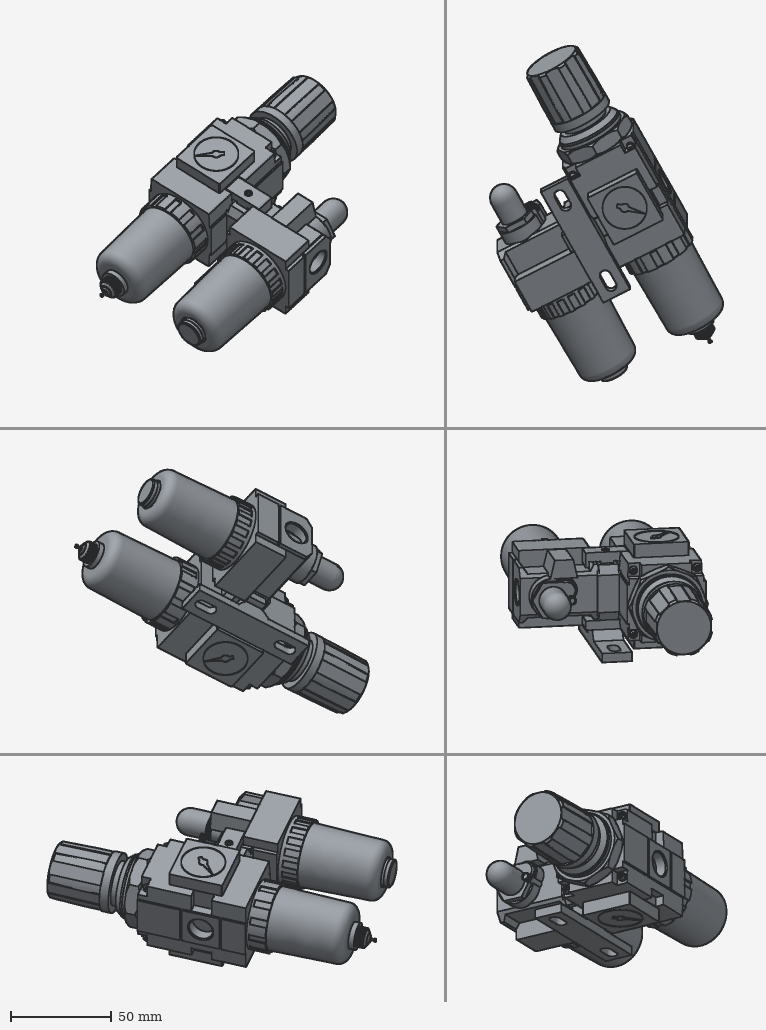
import cadquery as cq
import math


UNIT_PITCH = 50.0
SPACER_WIDTH = 10.0
UNIT_HALF_WIDTH = (UNIT_PITCH - SPACER_WIDTH) / 2
HALF_HEIGHT = 20.0
HOUSING_BOTTOM = -23.4
LUBRICATOR_X = UNIT_PITCH
SPACER_X = UNIT_PITCH / 2

GROOVE_Y = 10.4
GROOVE_WIDTH = 1.2
GROOVE_DEPTH = 1.0
STRAP_WIDTH = 10.0
STRAP_INNER_Z = 15.25
STRAP_LENGTH = 21.6
NOTCH_WIDTH = 10.8
EDGE_BEVEL_WIDTH = 1.1
EDGE_BEVEL_DROP = 0.3

PORT_DIAMETER = 13.6
PORT_INNER_DIAMETER = 12.4
PORT_CHAMFER = 0.6
PORT_DEPTH = 6.0

FILTER_TOP = 33.4
PORT_FACE_HALF_HEIGHT = 10.15
FILTER_STEP_X = UNIT_HALF_WIDTH - GROOVE_DEPTH
FILTER_SHELL_X = 18.5
NOTCH_FLOOR_X = SPACER_X - STRAP_LENGTH / 2
NOTCH_TOP_Z = 10.0
NOTCH_BOTTOM_Z = 15.0
SCREW_POCKET_X = 12.7
SCREW_POCKET_Y = 28.6
SCREW_POCKET_Z = 13.2
SCREW_X = 16.2
SCREW_Z = 16.5
SCREW_DIAMETER = 4.0
SCREW_RIM = 1.0
SCREW_TOP_RADIUS = 1.3
SCREW_HEAD = 2.5
SCREW_SLOT = 0.8

GAUGE_SIZE = 28.0
GAUGE_Y = 4.6
GAUGE_Z = 27.0
GAUGE_EDGE = 0.4
DIAL_Y = 5.2
DIAL_DIAMETER = 22.2
DIAL_DEPTH = 0.4
POINTER_LENGTH = 10.8
POINTER_TAIL = 4.0
POINTER_HUB = 4.4
POINTER_HALF_WIDTH = 1.3
POINTER_TAIL_HALF_WIDTH = 0.9
POINTER_ANGLE = 225.0

NUT_TOP = 40.6
NUT_SIDES = 8
NUT_CHAMFER_RADIUS = 18.7
NUT_CHAMFER_HEIGHT = 1.3
BONNET_RADIUS = 16.7
BONNET_GROOVE_RADIUS = 16.3
BONNET_GROOVE_BOTTOM = 42.6
BONNET_GROOVE_TOP = 43.7
BONNET_TOP_RADIUS = 14.0
BONNET_TOP = 46.7
NECK_RADIUS = 11.5
COLLAR_BOTTOM = 50.2
COLLAR_TOP = 54.9
COLLAR_RADIUS = 15.4
KNOB_TOP = 82.9
KNOB_KINK = 63.1
KNOB_TOP_RADIUS = 14.85
KNOB_RADIUS = 15.3
KNOB_CHAMFER = 1.2
KNOB_FLATS = 8
KNOB_FLAT_HALF_WIDTH = 3.5
KNOB_FLAT_DEPTH = 0.6

RING_RADIUS = 18.0
RING_END = -33.3
RING_RECESS_WIDTH = 3.6
RING_RECESS_DEPTH = 0.8
FILTER_RECESS_START = -24.6
FILTER_RECESSES = 12
LUBRICATOR_RECESS_START = -25.5
LUBRICATOR_RECESSES = 18
BOWL_RADIUS = 16.5
BOWL_FLOOR_RADIUS = 10.6
FILTER_BOWL_TIP_RADIUS = 15.8
FILTER_BOWL_END = -73.3
LUBRICATOR_BOWL_TIP_RADIUS = 15.6
LUBRICATOR_BOWL_END = -74.2
BOWL_ROUND_HEIGHT = 5.0

BOSS_RADIUS = 7.0
DRAIN_BOSS_END = -76.2
DRAIN_CAP_RADIUS = 5.2
DRAIN_CAP_END = -80.2
DRAIN_CONE_END = -82.7
DRAIN_CONE_RADIUS = 1.8
DRAIN_RING_Y = -81.7
DRAIN_RING_OUTER_RADIUS = 3.3
DRAIN_RING_INNER_RADIUS = 2.6
DRAIN_PIN_RADIUS = 0.55
DRAIN_TIP_START = -84.9
DRAIN_TIP_RADIUS = 0.85
DRAIN_END = -85.6
DRAIN_KNURLS = 20
DRAIN_KNURL_WIDTH = 0.6
DRAIN_KNURL_DEPTH = 0.5

PLUG_STEP = -75.4
PLUG_CHAMFER_START = -77.4
PLUG_RADIUS = 7.2
PLUG_FACE_RADIUS = 6.5
PLUG_END = -77.9
PLUG_SEAT_RADIUS = 7.8
PLUG_SEAT_DEPTH = 0.8

LUBRICATOR_TOP = 9.4
BLOCK_TOP = -5.3
BLOCK_HALF_WIDTH = 18.0
BODY_HALF_HEIGHT = 14.2
FLOOR_Z = 11.3
FLOOR_HALF_WIDTH = 15.9
BODY_CHAMFER_Y = 3.3
BODY_CHAMFER_Z = 4.7
RIDGE_X = 48.85
RIDGE_TOP_WIDTH = 9.4
RIDGE_FOOT_WIDTH = 13.8
RIDGE_FOOT_Z = 10.3
RIDGE_TOP_Z = 19.7
RIDGE_END = 15.7

DOME_X = 55.0
DOME_RADIUS = 7.0
DOME_CENTRE_Y = 30.3
SIGHT_NUT_RADIUS = 10.5
SIGHT_BASE_RADIUS = 10.4
SIGHT_NUT_TOP = 18.7
FILLER_X = 48.2
FILLER_Z = 4.5
FILLER_RADIUS = 11.45 / 2
FILLER_RIM_TOP = 17.2
FILLER_TOP_RADIUS = 4.5
FILLER_KNURLS = 24
KNURL_SIZE = 0.5
ADJUSTER_X = 45.7
ADJUSTER_RADIUS = 2.0
ADJUSTER_TOP = 21.8
ADJUSTER_KNURLS = 10

SPACER_HALF_LENGTH = GROOVE_Y + GROOVE_WIDTH / 2
SPACER_HALF_HEIGHT = 14.3
SPACER_CHAMFER_Y = 2.9
SPACER_CHAMFER_Z = 4.7
NECK_WIDTH = 6.8
HOOK_THICKNESS = 1.6
HOOK_Z = 12.3
STRAP_BEVEL_WIDTH = 1.4
STRAP_BEVEL_DROP = 0.4
CLAMP_SCREW_DIAMETER = 3.6
CLAMP_SCREW_DEPTH = 0.6
CLAMP_SOCKET_DIAMETER = 1.7
CLAMP_SOCKET_DEPTH = 2.0
PLATE_WIDTH = 15.2
PLATE_HALF_LENGTH = 33.1
PLATE_TOP_Z = -24.8
PLATE_BOTTOM_Z = -29.5
POST_FOOT_HALF_LENGTH = 9.0
SLOT_Y = 24.0
SLOT_LENGTH = 11.6
SLOT_WIDTH = 5.6


def box(x, y, z):
    """Box from three (low, high) ranges."""
    size = [high - low for low, high in (x, y, z)]
    return cq.Workplane("XY").box(*size, centered=False).translate((x[0], y[0], z[0]))


def mirrored(shape, plane):
    """A shape together with its mirror image through the origin."""
    return shape.union(shape.mirror(plane))


def turned(points):
    """Solid of revolution about the Y axis, from (radius, y) points."""
    profile = cq.Workplane("XY").polyline(points).close()
    return profile.revolve(360, (0, 0, 0), (0, 1, 0))


def along_y(start_y):
    """Workplane facing +Y, with its local y axis along -Z."""
    return cq.Workplane("XZ", origin=(0, start_y, 0)).transformed(rotate=(180, 0, 0))


def around_y(shape, count, start_angle=0.0):
    """Copies of a shape evenly spaced around the Y axis, joined in one cutter."""
    copies = cq.Workplane("XY")
    for index in range(count):
        angle = start_angle + index * 360.0 / count
        copies = copies.add(shape.rotate((0, 0, 0), (0, 1, 0), angle))
    return copies.combine()


def knurl_cutter(radius, depth, width, y_range, count):
    """Ring of narrow grooves along Y that knurls a cylinder of the given radius."""
    groove = box((-width / 2, width / 2), y_range, (radius - depth, radius + depth))
    return around_y(groove, count)


def bevelled_block(top_half_width, foot_half_width, foot_z, y_range):
    """Full-height block, drafted above foot_z, with a shallow bevel along its four long edges."""
    shoulder_z = HALF_HEIGHT - EDGE_BEVEL_DROP
    bevel_x = top_half_width - EDGE_BEVEL_WIDTH
    quarter = [(bevel_x, HALF_HEIGHT), (top_half_width, shoulder_z), (foot_half_width, foot_z)]
    lower = [(x, -z) for x, z in reversed(quarter)]
    right = quarter + lower
    left = [(-x, z) for x, z in reversed(right)]
    length = y_range[1] - y_range[0]
    return along_y(y_range[0]).polyline(right + left).close().extrude(length)


def port(face_x, inward):
    """Blind flow port with a chamfered mouth; inward is the X direction into the housing."""
    mouth_radius = PORT_DIAMETER / 2
    bore_radius = PORT_INNER_DIAMETER / 2
    points = [
        (0, 0),
        (mouth_radius, 0),
        (bore_radius, PORT_CHAMFER),
        (bore_radius, PORT_DEPTH),
        (0, PORT_DEPTH),
    ]
    cutter = turned(points).rotate((0, 0, 0), (0, 0, 1), -90 * inward)
    return cutter.translate((face_x, 0, 0))


def groove_cutters(face_x):
    """Pair of vertical tongue grooves reaching GROOVE_DEPTH to each side of a port face."""
    groove = box(
        (face_x - GROOVE_DEPTH, face_x + GROOVE_DEPTH),
        (GROOVE_Y - GROOVE_WIDTH / 2, GROOVE_Y + GROOVE_WIDTH / 2),
        (-HALF_HEIGHT, HALF_HEIGHT),
    )
    return mirrored(groove, "XZ")


def bowl(tip_radius, end_y, recess_start, recess_count, recess_angle):
    """Tapered bowl with a rounded end, under a ring with grip recesses."""
    round_start = end_y + BOWL_ROUND_HEIGHT
    round_width = tip_radius - BOWL_FLOOR_RADIUS
    arc_mid = (
        BOWL_FLOOR_RADIUS + round_width * math.sin(math.pi / 4),
        round_start - BOWL_ROUND_HEIGHT * math.sin(math.pi / 4),
    )
    body = (
        cq.Workplane("XY")
        .moveTo(0, HOUSING_BOTTOM)
        .lineTo(RING_RADIUS, HOUSING_BOTTOM)
        .lineTo(RING_RADIUS, RING_END)
        .lineTo(BOWL_RADIUS, RING_END)
        .lineTo(tip_radius, round_start)
        .threePointArc(arc_mid, (BOWL_FLOOR_RADIUS, end_y))
        .lineTo(0, end_y)
        .close()
        .revolve(360, (0, 0, 0), (0, 1, 0))
    )
    recess = box(
        (-RING_RECESS_WIDTH / 2, RING_RECESS_WIDTH / 2),
        (RING_END, recess_start),
        (RING_RADIUS - RING_RECESS_DEPTH, RING_RADIUS + RING_RECESS_DEPTH),
    )
    return body.cut(around_y(recess, recess_count, recess_angle))


def filter_housing():
    y_range = (HOUSING_BOTTOM, FILTER_TOP)
    housing = bevelled_block(FILTER_SHELL_X, FILTER_STEP_X, PORT_FACE_HALF_HEIGHT, y_range)
    housing = housing.union(
        box(
            (-UNIT_HALF_WIDTH, UNIT_HALF_WIDTH),
            y_range,
            (-PORT_FACE_HALF_HEIGHT, PORT_FACE_HALF_HEIGHT),
        )
    )
    for side in (-1, 1):
        housing = housing.cut(groove_cutters(side * UNIT_HALF_WIDTH))
    notch_x = (NOTCH_FLOOR_X, FILTER_STEP_X)
    notch_y = (-NOTCH_WIDTH / 2, NOTCH_WIDTH / 2)
    upper_notch = box(notch_x, notch_y, (NOTCH_TOP_Z, HALF_HEIGHT))
    lower_notch = box(notch_x, notch_y, (-HALF_HEIGHT, -NOTCH_BOTTOM_Z))
    housing = housing.cut(mirrored(upper_notch, "YZ")).cut(mirrored(lower_notch, "YZ"))
    return housing.cut(port(-UNIT_HALF_WIDTH, 1))


def corner_screw():
    """Slotted screw head with a coned top, standing in a corner pocket."""
    head_top = SCREW_POCKET_Y + SCREW_HEAD
    head = turned(
        [
            (0, SCREW_POCKET_Y),
            (SCREW_DIAMETER / 2, SCREW_POCKET_Y),
            (SCREW_DIAMETER / 2, SCREW_POCKET_Y + SCREW_RIM),
            (SCREW_TOP_RADIUS, head_top),
            (0, head_top),
        ]
    )
    slot = box(
        (-SCREW_DIAMETER, SCREW_DIAMETER),
        (head_top - SCREW_SLOT, head_top),
        (-SCREW_SLOT / 2, SCREW_SLOT / 2),
    )
    return head.cut(slot).translate((SCREW_X, 0, SCREW_Z))


def four_corners(shape):
    return mirrored(mirrored(shape, "XY"), "YZ")


def gauge():
    """Square pressure gauge on the upper face, with a sunk dial and a raised pointer."""
    half = GAUGE_SIZE / 2
    case = box(
        (-half, half),
        (GAUGE_Y - half, GAUGE_Y + half),
        (HALF_HEIGHT, GAUGE_Z),
    )
    case = case.edges("|Z").chamfer(GAUGE_EDGE)
    dial_plane = cq.Workplane("XY", origin=(0, DIAL_Y, GAUGE_Z - DIAL_DEPTH))
    dial = dial_plane.circle(DIAL_DIAMETER / 2).extrude(DIAL_DEPTH)
    needle = (
        dial_plane.transformed(rotate=(0, 0, POINTER_ANGLE))
        .polyline(
            [
                (POINTER_LENGTH, 0),
                (0, POINTER_HALF_WIDTH),
                (-POINTER_TAIL, POINTER_TAIL_HALF_WIDTH),
                (-POINTER_TAIL, -POINTER_TAIL_HALF_WIDTH),
                (0, -POINTER_HALF_WIDTH),
            ]
        )
        .close()
        .extrude(DIAL_DEPTH)
    )
    hub = dial_plane.circle(POINTER_HUB / 2).extrude(DIAL_DEPTH)
    return case.cut(dial).union(needle).union(hub)


def regulator_nut():
    """Octagon nut with both ends turned to a cone."""
    length = NUT_TOP - FILTER_TOP
    nut = along_y(FILTER_TOP).polygon(NUT_SIDES, 2 * UNIT_HALF_WIDTH).extrude(length)
    envelope = turned(
        [
            (0, FILTER_TOP),
            (NUT_CHAMFER_RADIUS, FILTER_TOP),
            (UNIT_HALF_WIDTH, FILTER_TOP + NUT_CHAMFER_HEIGHT),
            (UNIT_HALF_WIDTH, NUT_TOP - NUT_CHAMFER_HEIGHT),
            (NUT_CHAMFER_RADIUS, NUT_TOP),
            (0, NUT_TOP),
        ]
    )
    return nut.intersect(envelope)


def bonnet():
    return turned(
        [
            (0, NUT_TOP),
            (BONNET_RADIUS, NUT_TOP),
            (BONNET_RADIUS, BONNET_GROOVE_BOTTOM),
            (BONNET_GROOVE_RADIUS, BONNET_GROOVE_BOTTOM),
            (BONNET_GROOVE_RADIUS, BONNET_GROOVE_TOP),
            (BONNET_TOP_RADIUS, BONNET_TOP),
            (NECK_RADIUS, BONNET_TOP),
            (NECK_RADIUS, COLLAR_BOTTOM),
            (0, COLLAR_BOTTOM),
        ]
    )


def knob():
    """Tapered hand knob with sunk flats that follow its taper, above a plain collar."""
    grip = turned(
        [
            (0, COLLAR_BOTTOM),
            (COLLAR_RADIUS, COLLAR_BOTTOM),
            (COLLAR_RADIUS, COLLAR_TOP),
            (KNOB_RADIUS, COLLAR_TOP),
            (KNOB_RADIUS, KNOB_KINK),
            (KNOB_TOP_RADIUS, KNOB_TOP - KNOB_CHAMFER),
            (KNOB_TOP_RADIUS - KNOB_CHAMFER, KNOB_TOP),
            (0, KNOB_TOP),
        ]
    )
    low_flat = math.sqrt(KNOB_RADIUS**2 - KNOB_FLAT_HALF_WIDTH**2) - KNOB_FLAT_DEPTH
    high_flat = math.sqrt(KNOB_TOP_RADIUS**2 - KNOB_FLAT_HALF_WIDTH**2) - KNOB_FLAT_DEPTH
    flat = (
        cq.Workplane("YZ")
        .polyline(
            [
                (COLLAR_TOP, low_flat),
                (KNOB_TOP, high_flat),
                (KNOB_TOP, COLLAR_RADIUS),
                (COLLAR_TOP, COLLAR_RADIUS),
            ]
        )
        .close()
        .extrude(KNOB_FLAT_HALF_WIDTH, both=True)
    )
    return grip.cut(around_y(flat, KNOB_FLATS))


def drain():
    """Drain boss, knurled cap and release pin below the filter bowl."""
    body = turned(
        [
            (0, FILTER_BOWL_END),
            (BOSS_RADIUS, FILTER_BOWL_END),
            (BOSS_RADIUS, DRAIN_BOSS_END),
            (DRAIN_CAP_RADIUS, DRAIN_BOSS_END),
            (DRAIN_CAP_RADIUS, DRAIN_CAP_END),
            (DRAIN_RING_OUTER_RADIUS, DRAIN_RING_Y),
            (DRAIN_RING_INNER_RADIUS, DRAIN_RING_Y),
            (DRAIN_CONE_RADIUS, DRAIN_CONE_END),
            (DRAIN_PIN_RADIUS, DRAIN_CONE_END),
            (DRAIN_PIN_RADIUS, DRAIN_TIP_START),
            (DRAIN_TIP_RADIUS, DRAIN_TIP_START),
            (DRAIN_TIP_RADIUS, DRAIN_END),
            (0, DRAIN_END),
        ]
    )
    knurl = knurl_cutter(
        DRAIN_CAP_RADIUS,
        DRAIN_KNURL_DEPTH,
        DRAIN_KNURL_WIDTH,
        (DRAIN_CONE_END, DRAIN_BOSS_END),
        DRAIN_KNURLS,
    )
    return body.cut(knurl)


def filter_regulator():
    screw_pocket = box(
        (SCREW_POCKET_X, UNIT_HALF_WIDTH),
        (SCREW_POCKET_Y, FILTER_TOP),
        (SCREW_POCKET_Z, HALF_HEIGHT),
    )
    unit = filter_housing().cut(four_corners(screw_pocket)).union(four_corners(corner_screw()))
    unit = unit.union(mirrored(gauge(), "XY"))
    unit = unit.union(regulator_nut()).union(bonnet()).union(knob())
    filter_bowl = bowl(
        FILTER_BOWL_TIP_RADIUS, FILTER_BOWL_END, FILTER_RECESS_START, FILTER_RECESSES, 0
    )
    return unit.union(filter_bowl).union(drain())


def lubricator_body():
    """Low body with port faces, sunk floors and a sloped end."""
    end_z = BODY_HALF_HEIGHT - BODY_CHAMFER_Z
    slope_y = LUBRICATOR_TOP - BODY_CHAMFER_Y
    side_profile = [
        (HOUSING_BOTTOM, BODY_HALF_HEIGHT),
        (slope_y, BODY_HALF_HEIGHT),
        (LUBRICATOR_TOP, end_z),
        (LUBRICATOR_TOP, -end_z),
        (slope_y, -BODY_HALF_HEIGHT),
        (HOUSING_BOTTOM, -BODY_HALF_HEIGHT),
    ]
    body = cq.Workplane("YZ").polyline(side_profile).close().extrude(UNIT_HALF_WIDTH, both=True)
    floor_cutter = (
        along_y(BLOCK_TOP)
        .polyline(
            [
                (-FLOOR_HALF_WIDTH, FLOOR_Z),
                (FLOOR_HALF_WIDTH, FLOOR_Z),
                (BLOCK_HALF_WIDTH, BODY_HALF_HEIGHT),
                (-BLOCK_HALF_WIDTH, BODY_HALF_HEIGHT),
            ]
        )
        .close()
        .extrude(LUBRICATOR_TOP - BLOCK_TOP)
    )
    body = body.cut(mirrored(floor_cutter, "XY"))
    block = bevelled_block(
        BLOCK_HALF_WIDTH, BLOCK_HALF_WIDTH, BODY_HALF_HEIGHT, (HOUSING_BOTTOM, BLOCK_TOP)
    )
    for side in (-1, 1):
        body = body.cut(groove_cutters(side * UNIT_HALF_WIDTH))
    return body.union(block).cut(port(UNIT_HALF_WIDTH, -1))


def ridge():
    """Raised ridge with sloping flanks, running past the end of the body."""
    return (
        along_y(BLOCK_TOP)
        .polyline(
            [
                (RIDGE_X - RIDGE_FOOT_WIDTH / 2, -RIDGE_FOOT_Z),
                (RIDGE_X + RIDGE_FOOT_WIDTH / 2, -RIDGE_FOOT_Z),
                (RIDGE_X + RIDGE_TOP_WIDTH / 2, -RIDGE_TOP_Z),
                (RIDGE_X - RIDGE_TOP_WIDTH / 2, -RIDGE_TOP_Z),
            ]
        )
        .close()
        .extrude(RIDGE_END - BLOCK_TOP)
    )


def sight_dome():
    """Round base, hexagon and clear dome of the drip sight."""
    base = along_y(BLOCK_TOP).circle(SIGHT_BASE_RADIUS).extrude(RIDGE_END - BLOCK_TOP)
    hexagon = along_y(RIDGE_END).polygon(6, 2 * SIGHT_NUT_RADIUS).extrude(SIGHT_NUT_TOP - RIDGE_END)
    column = along_y(SIGHT_NUT_TOP).circle(DOME_RADIUS).extrude(DOME_CENTRE_Y - SIGHT_NUT_TOP)
    cap = cq.Workplane("XY").sphere(DOME_RADIUS).translate((0, DOME_CENTRE_Y, 0))
    return base.union(hexagon).union(column).union(cap).translate((DOME_X, 0, 0))


def filler_plug():
    """Knurled filler plug beside the dome."""
    plug = turned(
        [
            (0, LUBRICATOR_TOP),
            (FILLER_RADIUS, LUBRICATOR_TOP),
            (FILLER_RADIUS, FILLER_RIM_TOP),
            (FILLER_TOP_RADIUS, SIGHT_NUT_TOP),
            (0, SIGHT_NUT_TOP),
        ]
    )
    knurl = knurl_cutter(
        FILLER_RADIUS, KNURL_SIZE, KNURL_SIZE, (RIDGE_END, SIGHT_NUT_TOP), FILLER_KNURLS
    )
    return plug.cut(knurl).translate((FILLER_X, 0, FILLER_Z))


def adjuster():
    """Small knurled adjuster knob beside the filler plug."""
    length = ADJUSTER_TOP - LUBRICATOR_TOP
    pin = along_y(LUBRICATOR_TOP).circle(ADJUSTER_RADIUS).extrude(length)
    knurl = knurl_cutter(
        ADJUSTER_RADIUS, KNURL_SIZE, KNURL_SIZE, (SIGHT_NUT_TOP, ADJUSTER_TOP), ADJUSTER_KNURLS
    )
    return pin.cut(knurl).translate((ADJUSTER_X, 0, 0))


def plug_seat():
    """Round recess in the bowl floor around the plug."""
    return along_y(LUBRICATOR_BOWL_END).circle(PLUG_SEAT_RADIUS).extrude(PLUG_SEAT_DEPTH)


def bowl_plug():
    seat_y = LUBRICATOR_BOWL_END + PLUG_SEAT_DEPTH
    return turned(
        [
            (0, seat_y),
            (BOSS_RADIUS, seat_y),
            (BOSS_RADIUS, PLUG_STEP),
            (PLUG_RADIUS, PLUG_STEP),
            (PLUG_RADIUS, PLUG_CHAMFER_START),
            (PLUG_FACE_RADIUS, PLUG_END),
            (0, PLUG_END),
        ]
    )


def lubricator():
    half_step = 180.0 / LUBRICATOR_RECESSES
    lubricator_bowl = bowl(
        LUBRICATOR_BOWL_TIP_RADIUS,
        LUBRICATOR_BOWL_END,
        LUBRICATOR_RECESS_START,
        LUBRICATOR_RECESSES,
        half_step,
    )
    unit = lubricator_body().union(lubricator_bowl).cut(plug_seat()).union(bowl_plug())
    unit = unit.translate((LUBRICATOR_X, 0, 0))
    return unit.union(ridge()).union(sight_dome()).union(filler_plug()).union(adjuster())


def spacer():
    """Spacer with chamfered ends and tongues that fill the port-face grooves."""
    end_z = SPACER_HALF_HEIGHT - SPACER_CHAMFER_Z
    slope_y = SPACER_HALF_LENGTH - SPACER_CHAMFER_Y
    upper = [
        (-SPACER_HALF_LENGTH, end_z),
        (-slope_y, SPACER_HALF_HEIGHT),
        (slope_y, SPACER_HALF_HEIGHT),
        (SPACER_HALF_LENGTH, end_z),
    ]
    lower = [(y, -z) for y, z in reversed(upper)]
    reach = SPACER_WIDTH / 2 + GROOVE_DEPTH
    body = cq.Workplane("YZ").polyline(upper + lower).close().extrude(reach, both=True)
    tongue_y = GROOVE_Y - GROOVE_WIDTH / 2
    relief = box(
        (SPACER_WIDTH / 2, reach),
        (-tongue_y, tongue_y),
        (-SPACER_HALF_HEIGHT, SPACER_HALF_HEIGHT),
    )
    return body.cut(mirrored(relief, "YZ"))


def strap():
    """Strap with bevelled ends, seated on a web above the spacer."""
    half_length = STRAP_LENGTH / 2
    bevel_x = half_length - STRAP_BEVEL_WIDTH
    bevel_z = HALF_HEIGHT - STRAP_BEVEL_DROP
    outline = [
        (-half_length, STRAP_INNER_Z),
        (-half_length, bevel_z),
        (-bevel_x, HALF_HEIGHT),
        (bevel_x, HALF_HEIGHT),
        (half_length, bevel_z),
        (half_length, STRAP_INNER_Z),
    ]
    bar = cq.Workplane("XZ").polyline(outline).close().extrude(STRAP_WIDTH / 2, both=True)
    web = box(
        (-NECK_WIDTH / 2, NECK_WIDTH / 2),
        (-STRAP_WIDTH / 2, STRAP_WIDTH / 2),
        (0, STRAP_INNER_Z),
    )
    return bar.union(web)


def hooks():
    """Lips at the ends of the upper strap that drop into the two units."""
    hook = box(
        (STRAP_LENGTH / 2 - HOOK_THICKNESS, STRAP_LENGTH / 2),
        (-STRAP_WIDTH / 2, STRAP_WIDTH / 2),
        (HOOK_Z, STRAP_INNER_Z),
    )
    return mirrored(hook, "YZ")


def clamp_screw_recess():
    recess_z = HALF_HEIGHT - CLAMP_SCREW_DEPTH
    recess = cq.Workplane("XY", origin=(0, 0, recess_z)).circle(CLAMP_SCREW_DIAMETER / 2)
    socket_z = recess_z - CLAMP_SOCKET_DEPTH
    socket = cq.Workplane("XY", origin=(0, 0, socket_z)).circle(CLAMP_SOCKET_DIAMETER / 2)
    return recess.extrude(CLAMP_SCREW_DEPTH).union(socket.extrude(CLAMP_SOCKET_DEPTH))


def mounting_plate():
    """Slotted plate carried by a post that widens towards it."""
    plate = box(
        (-PLATE_WIDTH / 2, PLATE_WIDTH / 2),
        (-PLATE_HALF_LENGTH, PLATE_HALF_LENGTH),
        (PLATE_BOTTOM_Z, PLATE_TOP_Z),
    )
    slots = (
        cq.Workplane("XY", origin=(0, 0, PLATE_BOTTOM_Z))
        .pushPoints([(0, -SLOT_Y), (0, SLOT_Y)])
        .slot2D(SLOT_LENGTH, SLOT_WIDTH, 90)
        .extrude(PLATE_TOP_Z - PLATE_BOTTOM_Z)
    )
    post = (
        cq.Workplane("YZ")
        .polyline(
            [
                (-STRAP_WIDTH / 2, -HALF_HEIGHT),
                (STRAP_WIDTH / 2, -HALF_HEIGHT),
                (POST_FOOT_HALF_LENGTH, PLATE_TOP_Z),
                (-POST_FOOT_HALF_LENGTH, PLATE_TOP_Z),
            ]
        )
        .close()
        .extrude(PLATE_WIDTH / 2, both=True)
    )
    return plate.cut(slots).union(post)


def bracket():
    body = spacer().union(mirrored(strap(), "XY")).union(hooks())
    body = body.cut(clamp_screw_recess()).union(mounting_plate())
    return body.translate((SPACER_X, 0, 0))


filter_unit = filter_regulator()
lubricator_unit = lubricator()
clamp_bracket = bracket()

result = cq.Compound.makeCompound(
    [
        *filter_unit.solids().vals(),
        *lubricator_unit.solids().vals(),
        *clamp_bracket.solids().vals(),
    ]
)